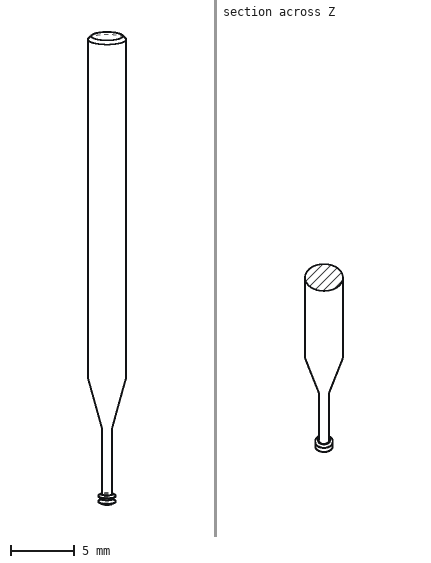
import cadquery as cq
import math

total_length = 38.0
shank_radius = 3.0 / 2
shank_chamfer = 0.25

neck_radius = 0.8 / 2
neck_top = 6.0
cone_half_angle = math.radians(15)
blend_radius = 0.87

tip_radius = 0.75 / 2
core_radius = 0.95 / 2
ridge_radius = 1.4 / 2
ridge_count = 2
ridge_pitch = 0.45
first_ridge_height = 0.2
crest_width = 0.02
core_width = 0.05
head_top = 0.8


def blend_point(angle):
    """Point on the concave arc between neck and cone, at a given turn from the axis."""
    radius = neck_radius + blend_radius * (1 - math.cos(angle))
    return radius, neck_top + blend_radius * math.sin(angle)


def head_profile():
    """Radius and height points of the ridges, from the tip face up to the neck."""
    points = [(tip_radius, 0)]
    for index in range(ridge_count):
        height = first_ridge_height + index * ridge_pitch
        if index > 0:
            core_height = height - ridge_pitch / 2
            points.append((core_radius, core_height - core_width / 2))
            points.append((core_radius, core_height + core_width / 2))
        points.append((ridge_radius, height - crest_width / 2))
        points.append((ridge_radius, height + crest_width / 2))
    points.append((core_radius, head_top))
    points.append((neck_radius, head_top))
    return points


cone_base_radius, cone_base_height = blend_point(cone_half_angle)
cone_height = (shank_radius - cone_base_radius) / math.tan(cone_half_angle)
shank_base = cone_base_height + cone_height

half_section = (
    cq.Workplane("XZ")
    .polyline([(0, 0)] + head_profile())
    .lineTo(neck_radius, neck_top)
    .threePointArc(blend_point(cone_half_angle / 2), (cone_base_radius, cone_base_height))
    .lineTo(shank_radius, shank_base)
    .lineTo(shank_radius, total_length - shank_chamfer)
    .lineTo(shank_radius - shank_chamfer, total_length)
    .lineTo(0, total_length)
    .close()
)
result = half_section.revolve(360, (0, 0, 0), (0, 1, 0))